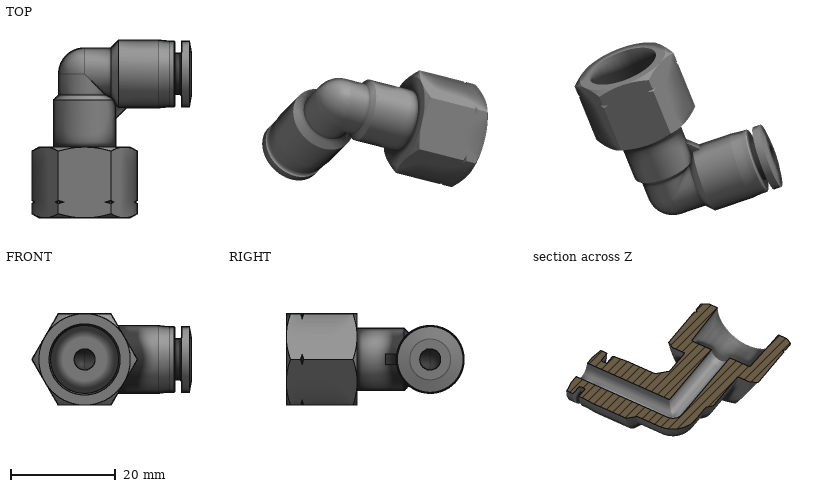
import cadquery as cq
import math

total_length = 34.0

across_flats = 17.48
nut_length = 13.53
nut_chamfer_angle = 30.0
groove_y = 3.03
groove_depth = 0.5
groove_half_width = 0.3

thread_mouth_radius = 6.8
thread_root_radius = 6.5
thread_depth = 10.0

stem_radius = 6.0
stem_end_y = 22.5
elbow_radius = 5.0
bore_radius = 2.0

socket_radius = 6.5
socket_nose_radius = 6.3
shoulder_start_x = elbow_radius
taper_start_x = 14.15
taper_end_x = 16.2
socket_end_x = 17.3
socket_edge_chamfer = 0.2

neck_radius = 3.98
neck_flare_start_x = 18.22
neck_flare_radius = 4.1
collar_radius = 6.3
collar_start_x = 18.53
collar_rim_x = 20.03
sleeve_end_x = 20.47
sleeve_end_radius = 3.9

gusset_stem_y = 19.0
gusset_thickness = 2.0

inscribed_radius = across_flats / 2
corner_radius = inscribed_radius / math.cos(math.radians(30))
nut_chamfer_height = (corner_radius - inscribed_radius) * math.tan(math.radians(nut_chamfer_angle))
elbow_y = total_length - socket_radius
shoulder_end_x = shoulder_start_x + socket_radius - elbow_radius


def revolve_about_y(points):
    """Revolve a closed (radius, Y) outline about the Y axis."""
    return cq.Workplane("XY").polyline(points).close().revolve(360, (0, 0, 0), (0, 1, 0))


def revolve_about_socket(points):
    """Revolve a closed (X, radius) outline about the socket axis."""
    profile = cq.Workplane("XY", origin=(0, elbow_y, 0)).polyline(points).close()
    return profile.revolve(360, (0, 0, 0), (1, 0, 0))


def elbow_path(radius, start_y, end_x):
    """Two round legs that meet in a spherical corner."""
    along_y = cq.Workplane("XZ", origin=(0, start_y, 0)).circle(radius).extrude(start_y - elbow_y)
    along_x = cq.Workplane("YZ", origin=(0, elbow_y, 0)).circle(radius).extrude(end_x)
    corner = cq.Workplane("XY", origin=(0, elbow_y, 0)).sphere(radius)
    return along_y.union(along_x).union(corner)


def hex_nut():
    nut = cq.Workplane("XZ").polygon(6, 2 * corner_radius).extrude(-nut_length)
    chamfer_envelope = revolve_about_y([
        (0, 0),
        (inscribed_radius, 0),
        (corner_radius, nut_chamfer_height),
        (corner_radius, nut_length - nut_chamfer_height),
        (inscribed_radius, nut_length),
        (0, nut_length),
    ])
    corner_groove = revolve_about_y([
        (corner_radius - groove_depth, groove_y),
        (corner_radius, groove_y - groove_half_width),
        (corner_radius, groove_y + groove_half_width),
    ])
    return nut.intersect(chamfer_envelope).cut(corner_groove)


def stem():
    stem_base_y = thread_depth
    shoulder_end_y = stem_end_y + stem_radius - elbow_radius
    return revolve_about_y([
        (0, stem_base_y),
        (stem_radius, stem_base_y),
        (stem_radius, stem_end_y),
        (elbow_radius, shoulder_end_y),
        (0, shoulder_end_y),
    ])


def socket_and_sleeve():
    return revolve_about_socket([
        (shoulder_start_x, 0),
        (shoulder_start_x, elbow_radius),
        (shoulder_end_x, socket_radius),
        (taper_start_x, socket_radius),
        (taper_end_x, socket_nose_radius),
        (socket_end_x - socket_edge_chamfer, socket_nose_radius),
        (socket_end_x, socket_nose_radius - socket_edge_chamfer),
        (socket_end_x, neck_radius),
        (neck_flare_start_x, neck_radius),
        (collar_start_x, neck_flare_radius),
        (collar_start_x, collar_radius),
        (collar_rim_x, collar_radius),
        (sleeve_end_x, sleeve_end_radius),
        (sleeve_end_x, 0),
    ])


def gusset():
    socket_wall_y = elbow_y - socket_radius
    slope_end_x = stem_radius + socket_wall_y - gusset_stem_y
    outline = cq.Workplane("XY").polyline([
        (0, gusset_stem_y),
        (stem_radius, gusset_stem_y),
        (slope_end_x, socket_wall_y),
        (slope_end_x, elbow_y),
        (0, elbow_y),
    ]).close()
    return outline.extrude(gusset_thickness / 2, both=True)


def threaded_opening():
    return revolve_about_y([
        (0, 0),
        (thread_mouth_radius, 0),
        (thread_root_radius, thread_depth),
        (0, thread_depth),
    ])


body = elbow_path(elbow_radius, stem_end_y, shoulder_end_x)
for section in (stem(), hex_nut(), socket_and_sleeve(), gusset()):
    body = body.union(section)

flow_bore = elbow_path(bore_radius, thread_depth, sleeve_end_x)
result = body.cut(threaded_opening()).cut(flow_bore)